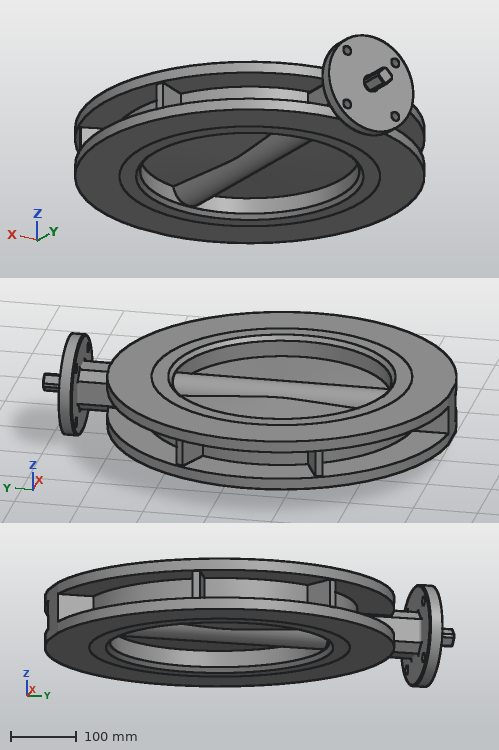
import cadquery as cq
import math


BODY_DIAMETER = 533.0
BODY_HEIGHT = 79.0
OVERALL_LENGTH = 635.0

RIM_THICKNESS = 18.0
GROOVE_HEIGHT = BODY_HEIGHT - 2 * RIM_THICKNESS
CORE_RADIUS = 210.0
BODY_RADIUS = BODY_DIAMETER / 2

RIB_THICKNESS = 11.5
RIB_OUTER_RADIUS = 261.5
RIB_ANGLE = 24.5
RIB_ANGLES = [RIB_ANGLE, 180 - RIB_ANGLE, 180 + RIB_ANGLE, -RIB_ANGLE]

FOOT_WIDTH = 52.0
FOOT_FLAT_WIDTH = 55.0
FOOT_FLAT_DISTANCE = math.sqrt(BODY_RADIUS**2 - (FOOT_FLAT_WIDTH / 2) ** 2)

FLANGE_DIAMETER = 155.0
FLANGE_TOP = 331.5
FLANGE_THICKNESS = 20.5
FLANGE_CHAMFER = 2.0
FLANGE_BOTTOM = FLANGE_TOP - FLANGE_THICKNESS
BOLT_HOLE_DIAMETER = 14.0
BOLT_HOLE_SPACING = 88.0

NECK_WIDTH = 65.0
NECK_FLAT_WIDTH = 37.0
NECK_BEVEL = (NECK_WIDTH - NECK_FLAT_WIDTH) / 2
NECK_FLARE_RADIUS = 4.0

LINER_OUTER_RADIUS = 199.0
LINER_BORE_RADIUS = 167.0
BORE_CHAMFER_WIDTH = 6.5
BORE_CHAMFER_DEPTH = 7.5

DISC_RADIUS = LINER_BORE_RADIUS
DISC_EDGE_THICKNESS = 13.0
DISC_CENTRE_THICKNESS = 35.0
HUB_RADIUS = 30.5

SHAFT_DIAMETER = 26.5
SHAFT_BOTTOM = -228.5
SHAFT_TOP = OVERALL_LENGTH - FOOT_FLAT_DISTANCE
DRIVE_SQUARE = 22.0
DRIVE_CORNER_WIDTH = 26.0
DRIVE_CHAMFER = 1.0


def cylinder_along_y(radius, y_start, y_end):
    return cq.Workplane("XZ", origin=(0, y_start, 0)).circle(radius).extrude(y_start - y_end)


def block_along_y(width_x, width_z, y_start, y_end):
    return cq.Workplane("XZ", origin=(0, y_start, 0)).rect(width_x, width_z).extrude(y_start - y_end)


def make_rims_and_core():
    ring = cq.Workplane("XY").circle(BODY_RADIUS).extrude(BODY_HEIGHT / 2, both=True)
    groove = (
        cq.Workplane("XY")
        .circle(BODY_DIAMETER)
        .circle(CORE_RADIUS)
        .extrude(GROOVE_HEIGHT / 2, both=True)
    )
    return ring.cut(groove)


def make_rib(angle):
    inner_radius = (CORE_RADIUS + LINER_OUTER_RADIUS) / 2
    return (
        cq.Workplane("XY")
        .center((inner_radius + RIB_OUTER_RADIUS) / 2, 0)
        .rect(RIB_OUTER_RADIUS - inner_radius, RIB_THICKNESS)
        .extrude(GROOVE_HEIGHT / 2, both=True)
        .rotate((0, 0, 0), (0, 0, 1), angle)
    )


def make_neck():
    column = block_along_y(NECK_WIDTH, NECK_WIDTH, LINER_OUTER_RADIUS, FLANGE_BOTTOM)
    return column.edges("|Y").chamfer(NECK_BEVEL)


def make_neck_flare(angle):
    """Concave fillet between one flat of the neck and the flange, turned about Y."""
    surface = NECK_WIDTH / 2
    arc_shift = NECK_FLARE_RADIUS * (1 - math.sqrt(0.5))
    return (
        cq.Workplane("XY")
        .moveTo(surface, FLANGE_BOTTOM)
        .lineTo(surface, FLANGE_BOTTOM - NECK_FLARE_RADIUS)
        .threePointArc(
            (surface + arc_shift, FLANGE_BOTTOM - arc_shift),
            (surface + NECK_FLARE_RADIUS, FLANGE_BOTTOM),
        )
        .close()
        .extrude(NECK_FLAT_WIDTH / 2, both=True)
        .rotate((0, 0, 0), (0, 1, 0), angle)
    )


def make_mounting_flange():
    plate = cylinder_along_y(FLANGE_DIAMETER / 2, FLANGE_BOTTOM, FLANGE_TOP)
    plate = plate.faces("<Y").edges().chamfer(FLANGE_CHAMFER)
    bolt_holes = (
        cq.Workplane("XZ", origin=(0, FLANGE_TOP, 0))
        .rect(BOLT_HOLE_SPACING, BOLT_HOLE_SPACING, forConstruction=True)
        .vertices()
        .circle(BOLT_HOLE_DIAMETER / 2)
        .extrude(FLANGE_THICKNESS)
    )
    return plate.cut(bolt_holes)


def make_housing():
    housing = make_rims_and_core()
    for angle in RIB_ANGLES:
        housing = housing.union(make_rib(angle))

    foot = block_along_y(FOOT_WIDTH, GROOVE_HEIGHT, -FOOT_FLAT_DISTANCE, -LINER_OUTER_RADIUS)
    beyond_foot = block_along_y(BODY_DIAMETER, BODY_HEIGHT, -BODY_RADIUS, -FOOT_FLAT_DISTANCE)
    housing = housing.union(foot).cut(beyond_foot)

    housing = housing.union(make_neck()).union(make_mounting_flange())
    for angle in (0, 90, 180, 270):
        housing = housing.union(make_neck_flare(angle))

    liner_seat = cq.Workplane("XY").circle(LINER_OUTER_RADIUS).extrude(BODY_HEIGHT / 2, both=True)
    shaft_hole = cylinder_along_y(SHAFT_DIAMETER / 2, SHAFT_BOTTOM, FLANGE_TOP)
    return housing.cut(liner_seat).cut(shaft_hole)


def make_liner():
    half_height = BODY_HEIGHT / 2
    mouth_radius = LINER_BORE_RADIUS + BORE_CHAMFER_WIDTH
    bore_half_height = half_height - BORE_CHAMFER_DEPTH
    ring = (
        cq.Workplane("XZ")
        .polyline(
            [
                (LINER_OUTER_RADIUS, -half_height),
                (LINER_OUTER_RADIUS, half_height),
                (mouth_radius, half_height),
                (LINER_BORE_RADIUS, bore_half_height),
                (LINER_BORE_RADIUS, -bore_half_height),
                (mouth_radius, -half_height),
            ]
        )
        .close()
        .revolve(360, (0, 0, 0), (0, 1, 0))
    )
    shaft_holes = cylinder_along_y(SHAFT_DIAMETER / 2, -LINER_OUTER_RADIUS, LINER_OUTER_RADIUS)
    return ring.cut(shaft_holes)


def make_disc():
    edge = DISC_EDGE_THICKNESS / 2
    centre = DISC_CENTRE_THICKNESS / 2
    plate = (
        cq.Workplane("XZ")
        .polyline([(0, -centre), (DISC_RADIUS, -edge), (DISC_RADIUS, edge), (0, centre)])
        .close()
        .revolve(360, (0, 0, 0), (0, 1, 0))
    )
    bore_space = cq.Workplane("XY").circle(DISC_RADIUS).extrude(HUB_RADIUS, both=True)
    hub = cylinder_along_y(HUB_RADIUS, -DISC_RADIUS, DISC_RADIUS).intersect(bore_space)
    shaft_hole = cylinder_along_y(SHAFT_DIAMETER / 2, -DISC_RADIUS, DISC_RADIUS)
    return plate.union(hub).cut(shaft_hole)


def make_shaft():
    journal = cylinder_along_y(SHAFT_DIAMETER / 2, SHAFT_BOTTOM, FLANGE_TOP)
    square = block_along_y(DRIVE_SQUARE, DRIVE_SQUARE, FLANGE_TOP, SHAFT_TOP)
    square = square.rotate((0, 0, 0), (0, 1, 0), 45)
    corner_limit = block_along_y(DRIVE_CORNER_WIDTH, DRIVE_CORNER_WIDTH, FLANGE_TOP, SHAFT_TOP)
    drive = square.intersect(corner_limit).faces(">Y").edges().chamfer(DRIVE_CHAMFER)
    return journal.union(drive)


housing = make_housing()
liner = make_liner()
disc = make_disc()
shaft = make_shaft()

bodies = [housing, liner, disc, shaft]
result = cq.Compound.makeCompound([body.solids().val() for body in bodies])